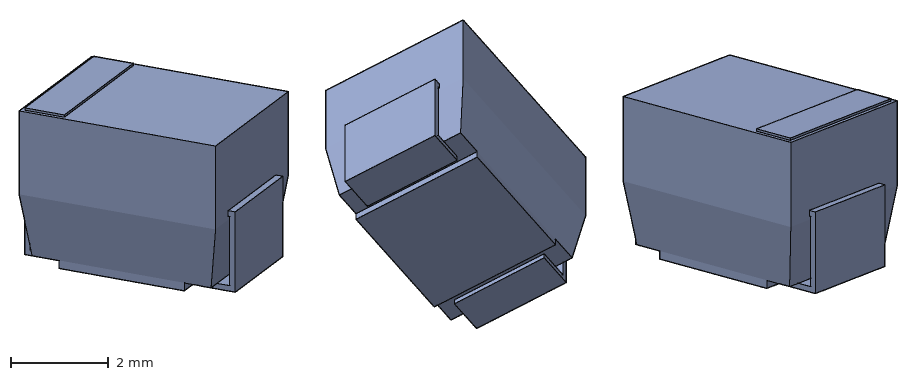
import cadquery as cq

overall_length = 4.8
overall_width = 3.4
overall_height = 3.45

housing_length = 4.48
mark_thickness = 0.05
housing_top = overall_height - mark_thickness
parting_height = 1.56
taper_inset = 0.2
base_length = housing_length - 2 * taper_inset
base_width = overall_width - 2 * taper_inset
pad_length = 2.86
pad_height = 0.175

mark_margin = 0.09
mark_length = 0.9
mark_width = overall_width - 2 * mark_margin

lead_thickness = 0.125
lead_width = 2.22
lead_height = 1.77
foot_length = 0.81
tab_length = (overall_length - housing_length) / 2


def make_housing():
    """Moulded body standing on its pad, with the pad bottom at Z = 0."""
    upper = (
        cq.Workplane("XY", origin=(0, 0, parting_height))
        .rect(housing_length, overall_width)
        .extrude(housing_top - parting_height)
    )
    lower = (
        cq.Workplane("XY", origin=(0, 0, pad_height))
        .rect(base_length, base_width)
        .workplane(offset=parting_height - pad_height)
        .rect(housing_length, overall_width)
        .loft(ruled=True)
    )
    pad = cq.Workplane("XY").rect(pad_length, base_width).extrude(pad_height)
    return upper.union(lower).union(pad)


def make_polarity_mark():
    """Thin strip lying on the housing top near the -X end."""
    center_x = -housing_length / 2 + mark_margin + mark_length / 2
    return (
        cq.Workplane("XY", origin=(center_x, 0, housing_top))
        .rect(mark_length, mark_width)
        .extrude(mark_thickness)
    )


def make_lead(side):
    """C-shaped lead; side is -1 for the -X end and +1 for the +X end."""
    outer_x = side * overall_length / 2
    inner_x = outer_x - side * lead_thickness
    foot_x = outer_x - side * foot_length
    tab_x = outer_x - side * tab_length
    tab_bottom = lead_height - lead_thickness
    return (
        cq.Workplane("XZ")
        .moveTo(foot_x, 0)
        .lineTo(outer_x, 0)
        .lineTo(outer_x, lead_height)
        .lineTo(tab_x, lead_height)
        .lineTo(tab_x, tab_bottom)
        .lineTo(inner_x, tab_bottom)
        .lineTo(inner_x, lead_thickness)
        .lineTo(foot_x, lead_thickness)
        .close()
        .extrude(lead_width / 2, both=True)
    )


housing = make_housing()
polarity_mark = make_polarity_mark()
leads = [make_lead(side) for side in (-1, 1)]

result = cq.Compound.makeCompound(
    [housing.val(), polarity_mark.val(), *[lead.val() for lead in leads]]
)